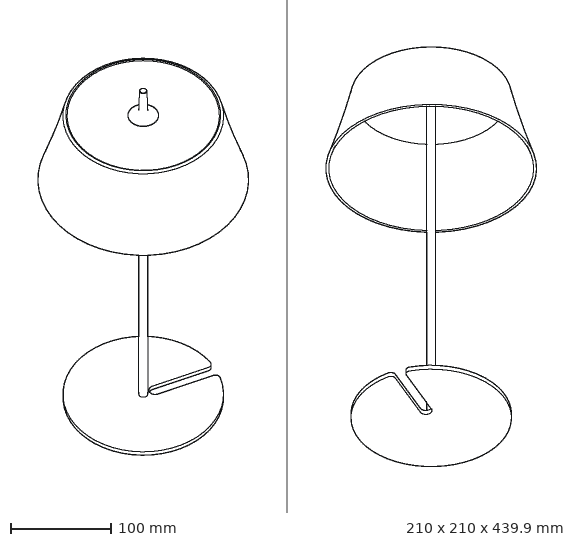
import cadquery as cq
import math

total_height = 439.9

base_radius = 80.0
base_thickness = 5.0
slot_width = 12.0
slot_end_centre_y = 13.0
slot_mouth_radius = 5.0

pole_diameter = 9.0

shade_bottom_z = 312.5
shade_top_z = 405.0
shade_bottom_radius = 105.0
shade_top_radius = 80.0
shade_wall = 3.0
shade_sag = 1.3
rim_width = 3.0
rim_height = 1.4

lip_width = 1.2
cover_recess = 0.7
cover_thickness = 3.0

flange_diameter = 30.5
flare_diameter = 25.0
flange_thickness = 0.5
stem_bottom_z = 413.4
stem_bottom_diameter = 9.0
stem_top_diameter = 7.4
stem_tip_chamfer = 0.5

cover_top_z = shade_top_z - cover_recess


def make_base():
    """Round plate with a slot that is round at the pole and flared at the edge."""
    slot_length = base_radius * 2
    slot = (
        cq.Workplane("XY")
        .center(0, slot_end_centre_y + slot_length / 2)
        .rect(slot_width, slot_length)
        .extrude(base_thickness)
        .union(
            cq.Workplane("XY")
            .center(0, slot_end_centre_y)
            .circle(slot_width / 2)
            .extrude(base_thickness)
        )
    )
    plate = cq.Workplane("XY").circle(base_radius).extrude(base_thickness).cut(slot)
    mouth_y = math.sqrt(base_radius**2 - (slot_width / 2) ** 2)
    mouth = cq.selectors.BoxSelector(
        (-slot_width, mouth_y - slot_mouth_radius, 0),
        (slot_width, mouth_y + slot_mouth_radius, base_thickness),
    )
    return plate.edges("|Z").edges(mouth).fillet(slot_mouth_radius)


def make_pole():
    """Straight rod from the underside of the base up into the cover."""
    return cq.Workplane("XY").circle(pole_diameter / 2).extrude(cover_top_z)


def make_shade():
    """Flared hollow shade with a domed rim and a slightly sunken cover, revolved about Z."""
    middle_radius = (shade_bottom_radius + shade_top_radius) / 2 - shade_sag
    middle_z = (shade_bottom_z + shade_top_z) / 2
    rim_start_z = shade_top_z - rim_height
    rim_inner_radius = shade_top_radius - rim_width
    cover_radius = rim_inner_radius - lip_width
    cover_bottom_z = cover_top_z - cover_thickness
    rim_arc_radius = (rim_width**2 + rim_height**2) / (2 * rim_height)
    return (
        cq.Workplane("XZ")
        .moveTo(shade_bottom_radius, shade_bottom_z)
        .threePointArc((middle_radius, middle_z), (shade_top_radius, rim_start_z))
        .radiusArc((rim_inner_radius, shade_top_z), -rim_arc_radius)
        .lineTo(cover_radius, cover_top_z)
        .lineTo(0, cover_top_z)
        .lineTo(0, cover_bottom_z)
        .lineTo(shade_top_radius - shade_wall, cover_bottom_z)
        .threePointArc(
            (middle_radius - shade_wall, middle_z),
            (shade_bottom_radius - shade_wall, shade_bottom_z),
        )
        .close()
        .revolve(360, (0, 0, 0), (0, 1, 0))
    )


def make_finial():
    """Turned finial: flange, concave flare, tapered stem with a chamfered tip."""
    flange_top_z = cover_top_z + flange_thickness
    flare_start = (flare_diameter / 2, flange_top_z)
    flare_end = (stem_bottom_diameter / 2, stem_bottom_z)
    flare_width = flare_start[0] - flare_end[0]
    flare_height = flare_end[1] - flare_start[1]
    inset = 1 - math.sqrt(0.5)
    flare_middle = (
        flare_end[0] + inset * flare_width,
        flare_start[1] + inset * flare_height,
    )
    return (
        cq.Workplane("XZ")
        .moveTo(0, cover_top_z)
        .lineTo(flange_diameter / 2, cover_top_z)
        .lineTo(flange_diameter / 2, flange_top_z)
        .lineTo(*flare_start)
        .threePointArc(flare_middle, flare_end)
        .lineTo(stem_top_diameter / 2, total_height - stem_tip_chamfer)
        .lineTo(stem_top_diameter / 2 - stem_tip_chamfer, total_height)
        .lineTo(0, total_height)
        .close()
        .revolve(360, (0, 0, 0), (0, 1, 0))
    )


base_and_pole = make_base().union(make_pole())
result = base_and_pole.union(make_shade()).union(make_finial())